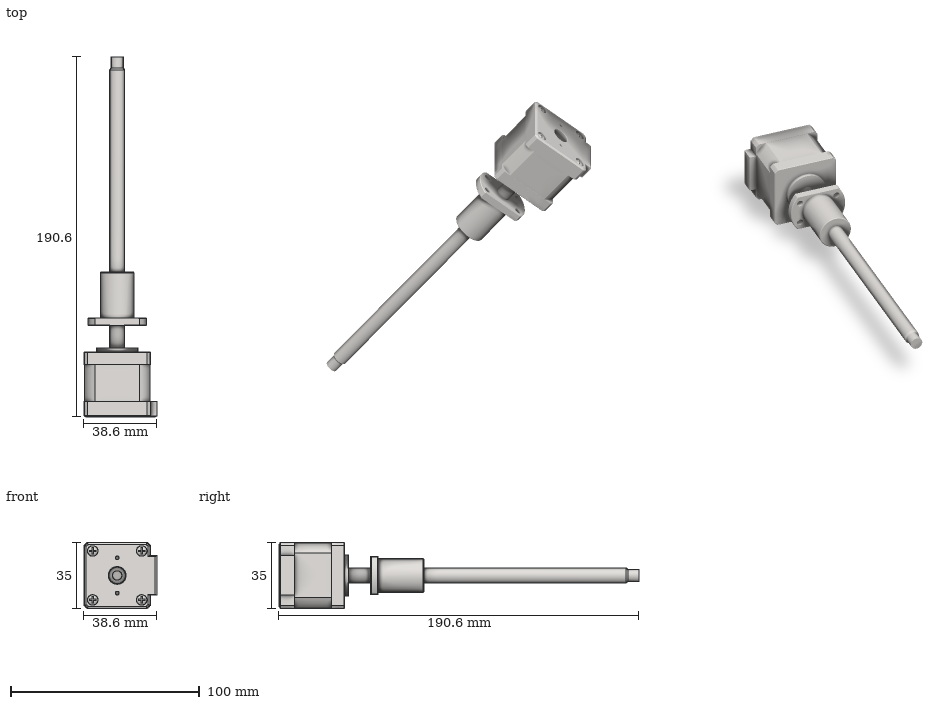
import cadquery as cq
import math


total_length = 190.6
frame_width = 35.0
half_frame = frame_width / 2

rear_cover_length = 8.2
stator_end = 27.8
front_face = 34.5
boss_end = 36.5

cap_corner_diameter = 47.3
stator_width = 34.9
front_edge_chamfer = 0.29
rear_edge_inset = 1.1
rear_edge_depth = 0.67
stator_corner_diameter = 42.1
boss_diameter = 22.0

connector_reach = 3.6
connector_height = 21.0
connector_edge_chamfer = 0.48

rear_bore_diameter = 8.8
rear_bore_depth = 3.2
rear_bore_chamfer = 0.29
pin_hole_diameter = 2.0
pin_hole_depth = 2.0
pin_hole_offset = 9.3

screw_offset = 13.0
screw_head_diameter = 5.5
screw_head_height = 2.7
screw_dome_height = 1.0
screw_shank_diameter = 3.0
screw_length = 22.9
cross_length = 3.5
cross_width = 0.8
cross_depth = 1.1

lead_diameter = 8.0
journal_diameter = 5.0
tip_diameter = 6.5
tip_length = 6.0
tip_taper_length = 1.0

nut_start = 48.5
flange_thickness = 4.0
nut_end = 76.6
nut_diameter = 18.0
nut_chamfer = 0.4
flange_diameter = 31.0
flange_height = 20.0
flange_chamfer = 0.4
flange_hole_diameter = 3.5
flange_hole_radius = 12.0
flange_hole_angle = 30.0


def cylinder(diameter, start, end):
    """Cylinder on the Y axis between two stations."""
    return cq.Workplane("XZ", origin=(0, start, 0)).circle(diameter / 2).extrude(start - end)


def block(width, height, start, end):
    """Box centred on the Y axis between two stations."""
    return cq.Workplane("XZ", origin=(0, start, 0)).rect(width, height).extrude(start - end)


def at_screws():
    """Rear-face workplane holding the four screw positions."""
    pitch = 2 * screw_offset
    return cq.Workplane("XZ").rect(pitch, pitch, forConstruction=True).vertices()


def screw_clearance():
    """Counterbored holes that the four screws fill."""
    seats = at_screws().circle(screw_head_diameter / 2).extrude(-screw_head_height)
    return seats.union(at_screws().circle(screw_shank_diameter / 2).extrude(-screw_length))


def rounded_square(width, corner_diameter, start, end):
    """Square block whose corners are cut to a circle about the Y axis."""
    return block(width, width, start, end).intersect(cylinder(corner_diameter, start, end))


def make_housing():
    """Front cap with its boss, joined to the narrower stator."""
    cap = rounded_square(frame_width, cap_corner_diameter, stator_end, front_face)
    cap = cap.faces(">Y").edges().chamfer(front_edge_chamfer)
    boss = cylinder(boss_diameter, front_face, boss_end)
    stator = rounded_square(stator_width, stator_corner_diameter, rear_cover_length, stator_end)
    housing = cap.union(boss).union(stator)
    lead_bore = cylinder(lead_diameter, stator_end, boss_end)
    journal_bore = cylinder(journal_diameter, rear_cover_length, stator_end)
    return housing.cut(lead_bore).cut(journal_bore).cut(screw_clearance())


def make_connector():
    """Block that carries the connector out of the +X side of the rear cover."""
    reach = half_frame + connector_reach
    outline = [
        (0, 0),
        (reach - rear_edge_inset, 0),
        (reach, rear_edge_depth),
        (reach, rear_cover_length),
        (0, rear_cover_length),
    ]
    connector = (
        cq.Workplane("XY", origin=(0, 0, -connector_height / 2))
        .polyline(outline)
        .close()
        .extrude(connector_height)
    )
    return connector.faces("<Y").edges("|X").chamfer(connector_edge_chamfer)


def make_rear_cover():
    """Rear cover with its connector block, stepped shaft bore, pin holes and screw seats."""
    cover = rounded_square(frame_width, cap_corner_diameter, rear_edge_depth, rear_cover_length)
    edge_angle = math.degrees(math.atan2(rear_edge_inset, rear_edge_depth))
    cover = cover.faces("<Y").wires().toPending().extrude(rear_edge_depth, taper=edge_angle)
    cover = cover.union(make_connector())
    journal_bore = cylinder(journal_diameter, 0, rear_cover_length)
    rear_bore = cylinder(rear_bore_diameter, 0, rear_bore_depth)
    cover = cover.cut(journal_bore).cut(rear_bore)
    cover = cover.faces("<Y").edges(cq.selectors.RadiusNthSelector(0)).chamfer(rear_bore_chamfer)
    pin_holes = (
        cq.Workplane("XZ")
        .pushPoints([(0, pin_hole_offset), (0, -pin_hole_offset)])
        .circle(pin_hole_diameter / 2)
        .extrude(-pin_hole_depth)
    )
    return cover.cut(pin_holes).cut(screw_clearance())


def make_lead_screw():
    """Shaft turned about the Y axis: motor journal, threaded length and stepped tip."""
    tip_start = total_length - tip_length
    profile = [
        (0, rear_bore_depth),
        (journal_diameter / 2, rear_bore_depth),
        (journal_diameter / 2, stator_end),
        (lead_diameter / 2, stator_end),
        (lead_diameter / 2, tip_start - tip_taper_length),
        (tip_diameter / 2, tip_start),
        (tip_diameter / 2, total_length),
        (0, total_length),
    ]
    return cq.Workplane("XY").polyline(profile).close().revolve(360, (0, 0, 0), (0, 1, 0))


def make_nut():
    """Round barrel on a flange that is cut flat above and below, with four mounting holes."""
    flange_end = nut_start + flange_thickness
    flange = cylinder(flange_diameter, nut_start, flange_end).edges().chamfer(flange_chamfer)
    flange = flange.intersect(block(flange_diameter, flange_height, nut_start, flange_end))
    barrel = cylinder(nut_diameter, nut_start, nut_end).faces(">Y").edges().chamfer(nut_chamfer)
    angle = math.radians(flange_hole_angle)
    hole_pitch_x = 2 * flange_hole_radius * math.cos(angle)
    hole_pitch_z = 2 * flange_hole_radius * math.sin(angle)
    holes = (
        cq.Workplane("XZ", origin=(0, nut_start, 0))
        .rect(hole_pitch_x, hole_pitch_z, forConstruction=True)
        .vertices()
        .circle(flange_hole_diameter / 2)
        .extrude(-flange_thickness)
    )
    return flange.union(barrel).cut(holes).cut(cylinder(lead_diameter, nut_start, nut_end))


def make_screw(x, z):
    """Domed cross-recess screw whose dome just reaches the rear face."""
    head_radius = screw_head_diameter / 2
    dome_radius = (head_radius**2 + screw_dome_height**2) / (2 * screw_dome_height)
    dome = cq.Workplane("XY").sphere(dome_radius).translate((0, dome_radius, 0))
    head = cylinder(screw_head_diameter, 0, screw_head_height).intersect(dome)
    cross = block(cross_length, cross_width, 0, cross_depth)
    cross = cross.union(block(cross_width, cross_length, 0, cross_depth))
    shank = cylinder(screw_shank_diameter, screw_head_height, screw_length)
    return head.cut(cross).union(shank).translate((x, 0, z))


housing = make_housing()
rear_cover = make_rear_cover()
lead_screw = make_lead_screw()
nut = make_nut()
screws = [
    make_screw(x, z).val()
    for x in (-screw_offset, screw_offset)
    for z in (-screw_offset, screw_offset)
]
result = cq.Compound.makeCompound(
    [housing.val(), rear_cover.val(), lead_screw.val(), nut.val(), *screws]
)